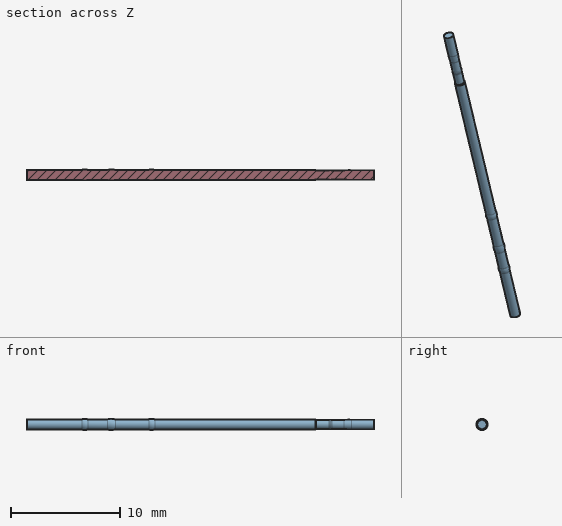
import cadquery as cq


length = 31.83
shaft_radius = 0.475
tip_radius = 0.45

bead_radius = 1.05 / 2
beads = [(5.03, 5.58), (7.35, 8.1), (11.15, 11.7)]

neck_radius = 0.425
neck_start = 26.42
neck_end = 29.03
slope_run = 0.08

collar_radius = tip_radius
collar_start = 27.66
collar_width = 0.29
collar_end = collar_start + collar_width

shoulder_end = 29.75
shoulder_bulge = 0.015


def add_bead(outline, start, end):
    """Follow the shaft to the bead, then arc over its crown."""
    crown = ((start + end) / 2, bead_radius)
    return outline.lineTo(start, shaft_radius).threePointArc(crown, (end, shaft_radius))


def add_neck(outline):
    """Slope down from the shaft onto the neck."""
    return outline.lineTo(neck_start, shaft_radius).lineTo(neck_start + slope_run, neck_radius)


def add_collar(outline):
    """Follow the neck to the collar and cross over it."""
    return (
        outline.lineTo(collar_start, neck_radius)
        .lineTo(collar_start + slope_run, collar_radius)
        .lineTo(collar_end - slope_run, collar_radius)
        .lineTo(collar_end, neck_radius)
    )


def add_shoulder(outline):
    """Follow the neck to its end, then arc up to the tip."""
    mid_x = (neck_end + shoulder_end) / 2
    mid_radius = (neck_radius + tip_radius) / 2 + shoulder_bulge
    outline = outline.lineTo(neck_end, neck_radius)
    return outline.threePointArc((mid_x, mid_radius), (shoulder_end, tip_radius))


profile = cq.Workplane("XZ").moveTo(0, 0).lineTo(0, shaft_radius)
for bead_start, bead_end in beads:
    profile = add_bead(profile, bead_start, bead_end)
profile = add_neck(profile)
profile = add_collar(profile)
profile = add_shoulder(profile)
profile = profile.lineTo(length, tip_radius).lineTo(length, 0).close()

result = profile.revolve(360, (0, 0, 0), (1, 0, 0))